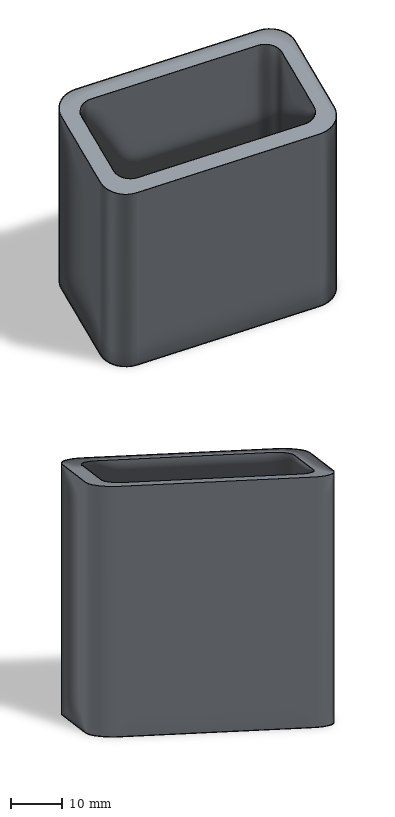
import cadquery as cq

width = 30.0
depth = 50.0
height = 50.0
wall = 3.6
outer_radius = 5.5
inner_radius = 3.6


def rounded_block(size_x, size_y, corner_radius):
    """Full-height block with rounded vertical edges, standing on Z = 0."""
    block = cq.Workplane("XY").rect(size_x, size_y).extrude(height)
    return block.edges("|Z").fillet(corner_radius)


outer_body = rounded_block(width, depth, outer_radius)
bore = rounded_block(width - 2 * wall, depth - 2 * wall, inner_radius)

result = outer_body.cut(bore)